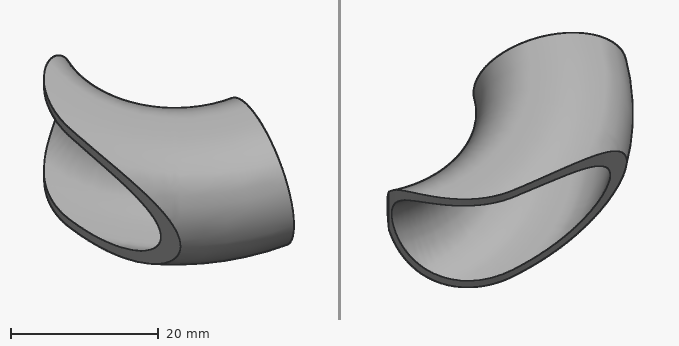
import cadquery as cq
import math

LENGTH = 36.65
DEPTH = 24.2
PIPE_DIAMETER = 21.3
WALL = 1.6
BEND_ANGLE = 90.0

TIGHT_RADIUS = 13.05
TIGHT_CENTER_X = 11.95
FLAT_RADIUS = 66.7
JOIN_X = 15.7

PIPE_RADIUS = PIPE_DIAMETER / 2
BORE_RADIUS = PIPE_RADIUS - WALL
BEND_RADIUS = LENGTH - PIPE_RADIUS
TIGHT_CENTER = (TIGHT_CENTER_X, TIGHT_RADIUS - DEPTH)


def point_on_arc(center, radius, angle):
    """Point at the given angle (radians, counterclockwise from +X) on an arc."""
    return (center[0] + radius * math.cos(angle), center[1] + radius * math.sin(angle))


def angle_below_center(center, radius, x):
    """Angle of the point with the given x on the lower half of an arc."""
    return -math.acos((x - center[0]) / radius)


def pipe_bend():
    """Quarter-turn tube around the Z axis, from the +X side to the -Y side."""
    return (
        cq.Workplane("XZ")
        .center(BEND_RADIUS, 0)
        .circle(PIPE_RADIUS)
        .circle(BORE_RADIUS)
        .revolve(BEND_ANGLE, (-BEND_RADIUS, 0), (-BEND_RADIUS, -1))
    )


def kept_region():
    """Prism along Z, bounded below by the two tangent arcs of the cut."""
    join_angle = angle_below_center(TIGHT_CENTER, TIGHT_RADIUS, JOIN_X)
    join = point_on_arc(TIGHT_CENTER, TIGHT_RADIUS, join_angle)
    flat_center = point_on_arc(join, FLAT_RADIUS, join_angle + math.pi)

    tight_start_angle = angle_below_center(TIGHT_CENTER, TIGHT_RADIUS, 0)
    flat_end_angle = angle_below_center(flat_center, FLAT_RADIUS, LENGTH)
    tight_mid_angle = (tight_start_angle + join_angle) / 2
    flat_mid_angle = (join_angle + flat_end_angle) / 2

    return (
        cq.Workplane("XY")
        .moveTo(0, 0)
        .lineTo(*point_on_arc(TIGHT_CENTER, TIGHT_RADIUS, tight_start_angle))
        .threePointArc(point_on_arc(TIGHT_CENTER, TIGHT_RADIUS, tight_mid_angle), join)
        .threePointArc(
            point_on_arc(flat_center, FLAT_RADIUS, flat_mid_angle),
            point_on_arc(flat_center, FLAT_RADIUS, flat_end_angle),
        )
        .lineTo(LENGTH, 0)
        .close()
        .extrude(PIPE_DIAMETER, both=True)
    )


result = pipe_bend().intersect(kept_region())